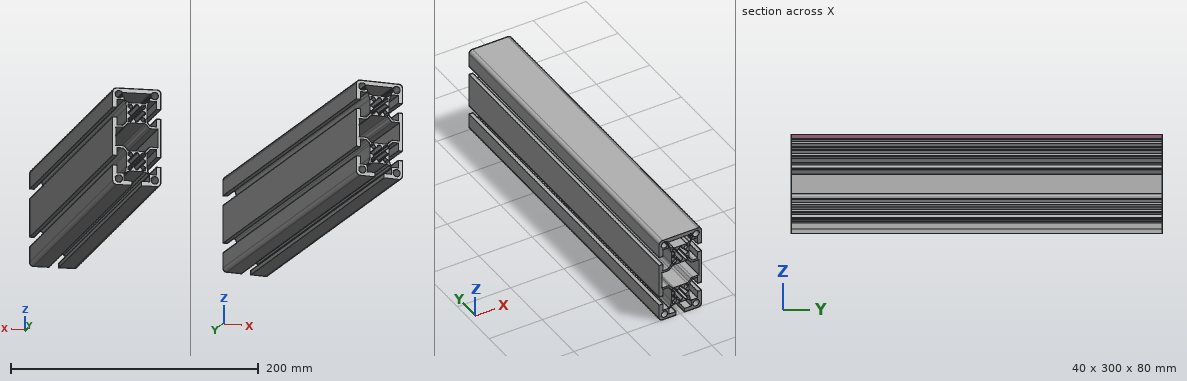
import cadquery as cq

length = 300.0
width = 40.0
height = 80.0
corner_radius = 3.3
cell_pitch = 40.0
cell_z = cell_pitch / 2

slot_mouth = 8.0
lip = 3.5
cavity_half = 10.5
mid_wall = 2.55

core_half = 8.5
core_bore_half = 7.2
tooth_offset = 2.7
tooth_half_width = 2.0
tooth_tip_half_width = 0.45
tooth_height = 2.5

web = 1.8
web_bend = 1.0
web_radius = 2.5
core_corner = 1.0
upper_web_end = 4.5

recess_half = 11.7
recess_depth = 3.5
chamber_floor_half = 6.0

channel_radius = 3.0
channel_inset = 5.0
channel_x = width / 2 - channel_inset
channel_z = height / 2 - channel_inset
channel_gap = 1.5


def prism(points):
    """Extrude a closed X-Z outline over the full length."""
    return cq.Workplane("XZ").polyline(points).close().extrude(length / 2, both=True)


def bar(size_x, size_z, x, z):
    """Full-length rectangular bar centred at (x, z)."""
    return cq.Workplane("XY").box(size_x, length, size_z).translate((x, 0, z))


def both_sides(outline):
    """Complete the +X half of an outline with its reflection at -X."""
    return outline + [(-x, z) for x, z in reversed(outline)]


def round_edges(solid, points, radius):
    """Fillet the lengthwise edges that pass through the given (x, z) points."""
    for x, z in points:
        solid = solid.edges(cq.selectors.NearestToPointSelector((x, 0, z))).fillet(radius)
    return solid


def side_slots():
    """Pair of T-slots in the side walls of the upper cell."""
    wall_x = width / 2 - lip
    web_outer = (cavity_half + web_bend, cell_z - cavity_half)
    web_inner = (core_half, cell_z - core_bore_half)
    cavity = prism([
        (wall_x, cell_z + cavity_half),
        (cavity_half, cell_z + cavity_half),
        (core_half + core_corner, cell_z + core_half),
        (core_half, cell_z + upper_web_end),
        web_inner,
        web_outer,
        (wall_x, cell_z - cavity_half),
    ])
    cavity = round_edges(cavity, [web_outer, web_inner], web_radius)
    mouth_depth = width / 2 - cavity_half
    slot = cavity.union(bar(mouth_depth, slot_mouth, cavity_half + mouth_depth / 2, cell_z))
    return slot.union(slot.mirror("YZ"))


def end_chamber():
    """Space between the core and the end wall of the upper cell."""
    floor = cell_z + core_half
    return prism(both_sides([
        (cavity_half, height / 2 - lip),
        (cavity_half, cell_z + cavity_half + core_corner),
        (core_half, floor + core_corner),
        (chamber_floor_half, floor),
    ]))


def middle_chamber():
    """Hollow between the two cells, with rounded bends along its webs."""
    side_z = cell_z - cavity_half - web
    core_z = cell_z - core_half
    wall = (width / 2 - mid_wall, side_z)
    bends = [(cavity_half, side_z), (core_bore_half, core_z)]
    upper = both_sides([wall] + bends)
    lower = [(x, -z) for x, z in reversed(upper)]
    all_bends = [(i * x, k * z) for x, z in bends for i in (-1, 1) for k in (-1, 1)]
    return round_edges(prism(upper + lower), all_bends, web_radius)


def core_bore():
    """Square bore of the upper cell with two gripping teeth on each side."""
    bore = bar(2 * core_bore_half, 2 * core_bore_half, 0, cell_z)
    base_z = cell_z + core_bore_half
    tip_z = base_z - tooth_height
    for offset in (-tooth_offset, tooth_offset):
        tooth = prism([
            (offset - tooth_half_width, base_z),
            (offset - tooth_tip_half_width, tip_z),
            (offset + tooth_tip_half_width, tip_z),
            (offset + tooth_half_width, base_z),
        ])
        for turn in range(4):
            bore = bore.cut(tooth.rotate((0, 0, cell_z), (0, 1, cell_z), 90 * turn))
    return bore


def corner_channels():
    """Pair of round channels beside the end wall of the upper cell."""
    centres = [(-channel_x, channel_z), (channel_x, channel_z)]
    return cq.Workplane("XZ").pushPoints(centres).circle(channel_radius).extrude(length / 2, both=True)


profile = bar(width, height, 0, 0).edges("|Y").fillet(corner_radius)
for cavity in (side_slots(), end_chamber(), core_bore(), corner_channels()):
    profile = profile.cut(cavity).cut(cavity.mirror("XY"))
profile = profile.cut(middle_chamber())

profile = profile.cut(bar(slot_mouth, lip, 0, (lip - height) / 2))

recess_z = height / 2 - lip - recess_depth / 2
profile = profile.cut(bar(2 * recess_half, recess_depth, 0, recess_z))
result = profile.cut(bar(2 * channel_x, channel_gap, 0, channel_z))